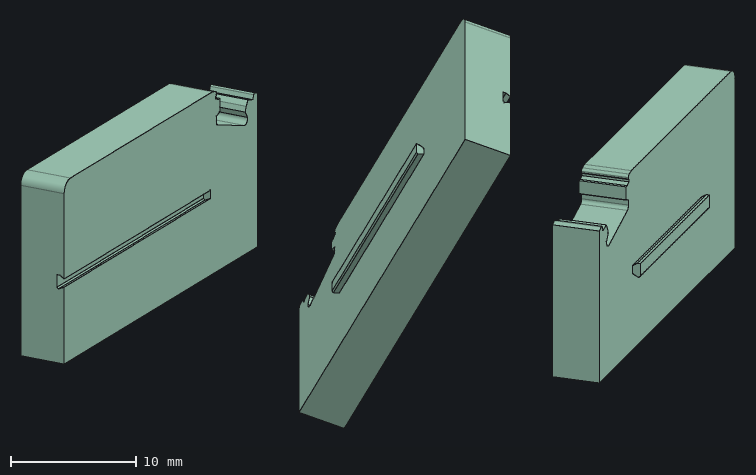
import cadquery as cq

length = 31.5
height = 15.5
thickness = 4.0
front_corner_radius = 1.0

rear_wall_height = 13.05
ramp_low = (2.2, 11.0)
ramp_high = (6.52, 12.4)
hook_front = 6.17
pocket_front = 6.75
hook_bottom = 13.42
hook_top = 14.55

rail_start = 7.8
rail_length = 16.0
rail_end = rail_start + rail_length
rail_depth = 0.65
rail_head_top = 7.5
rail_neck_top = 7.25
rail_neck_bottom = 6.55
rail_head_bottom = 6.3
rail_upper_lip = 0.25
rail_lower_chamfer = 0.13


def from_rear(distance, z):
    """Point on the side profile at a distance forward of the rear face."""
    return (length - distance, z)


def make_plate():
    """Side profile with the rear clip cutout, extruded through the thickness."""
    profile = cq.Workplane("YZ").lineTo(length, 0).lineTo(*from_rear(0, rear_wall_height))
    profile = (
        profile.lineTo(*from_rear(0.45, 13.23))
        .threePointArc(from_rear(0.6, 13.23), from_rear(0.7, 13.15))
        .lineTo(*from_rear(0.85, 12.75))
        .lineTo(*from_rear(1.6, 12.98))
        .lineTo(*from_rear(1.92, 12.55))
        .lineTo(*from_rear(2.08, 12.1))
        .lineTo(*from_rear(1.7, 11.53))
        .threePointArc(from_rear(1.83, 11.12), from_rear(*ramp_low))
    )
    profile = (
        profile.lineTo(*from_rear(*ramp_high))
        .threePointArc(from_rear(6.68, 12.55), from_rear(pocket_front, 12.8))
        .lineTo(*from_rear(pocket_front, 13.23))
        .lineTo(*from_rear(hook_front, hook_bottom))
        .lineTo(*from_rear(hook_front, hook_top))
    )
    profile = (
        profile.lineTo(*from_rear(6.45, hook_top))
        .lineTo(*from_rear(6.85, 14.75))
        .lineTo(*from_rear(6.85, 14.93))
        .lineTo(*from_rear(6.7, 15.03))
        .lineTo(*from_rear(6.7, 15.15))
        .threePointArc(from_rear(6.77, 15.28), from_rear(6.93, 15.37))
        .lineTo(*from_rear(7.4, height))
        .lineTo(0, height)
        .close()
    )
    plate = profile.extrude(thickness)
    return plate.edges("|X and <Y and >Z").fillet(front_corner_radius)


def dovetail_bar(face_x, y_start, y_end):
    """Dovetail bar with its neck at face_x and its head toward -X."""
    head_x = face_x - rail_depth
    section = [
        (face_x, rail_neck_bottom),
        (head_x + rail_lower_chamfer, rail_head_bottom),
        (head_x, rail_head_bottom + rail_lower_chamfer),
        (head_x, rail_head_top),
        (head_x + rail_upper_lip, rail_head_top),
        (face_x, rail_neck_top),
    ]
    return (
        cq.Workplane("XZ", origin=(0, y_start, 0))
        .polyline(section)
        .close()
        .extrude(y_start - y_end)
    )


rail = dovetail_bar(0, rail_start, rail_end)
groove = dovetail_bar(thickness, 0, rail_end)

result = make_plate().union(rail).cut(groove)